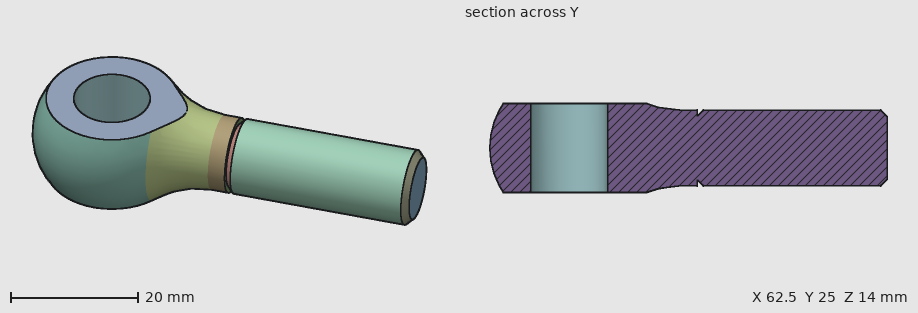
import cadquery as cq
import math

total_length = 62.45
ball_radius = 12.5
eye_thickness = 14.0
bore_diameter = 12.0
shank_radius = 6.0
neck_fillet_radius = 14.0
end_chamfer = 1.05
notch_start = 20.1
notch_depth = 0.95

shank_end = total_length - ball_radius

arc_centre_y = shank_radius + neck_fillet_radius
centre_distance = ball_radius + neck_fillet_radius
arc_centre_x = math.sqrt(centre_distance**2 - arc_centre_y**2)
touch_x = arc_centre_x * ball_radius / centre_distance
touch_y = arc_centre_y * ball_radius / centre_distance
touch_angle = math.atan2(arc_centre_y, arc_centre_x)

mid_angle = (touch_angle + math.pi / 2) / 2
neck_mid = (
    arc_centre_x - neck_fillet_radius * math.cos(mid_angle),
    arc_centre_y - neck_fillet_radius * math.sin(mid_angle),
)

ball_mid_angle = (touch_angle + math.pi) / 2
ball_mid = (
    ball_radius * math.cos(ball_mid_angle),
    ball_radius * math.sin(ball_mid_angle),
)

body = (
    cq.Workplane("XY")
    .moveTo(-ball_radius, 0)
    .threePointArc(ball_mid, (touch_x, touch_y))
    .threePointArc(neck_mid, (arc_centre_x, shank_radius))
    .lineTo(notch_start, shank_radius)
    .lineTo(notch_start, shank_radius - notch_depth)
    .lineTo(notch_start + notch_depth, shank_radius)
    .lineTo(shank_end - end_chamfer, shank_radius)
    .lineTo(shank_end, shank_radius - end_chamfer)
    .lineTo(shank_end, 0)
    .close()
    .revolve(360, (0, 0, 0), (1, 0, 0))
)

flat_slab = cq.Workplane("XY").box(2 * total_length, 2 * total_length, eye_thickness)

bore = cq.Workplane("XY").cylinder(eye_thickness, bore_diameter / 2)

result = body.intersect(flat_slab).cut(bore)